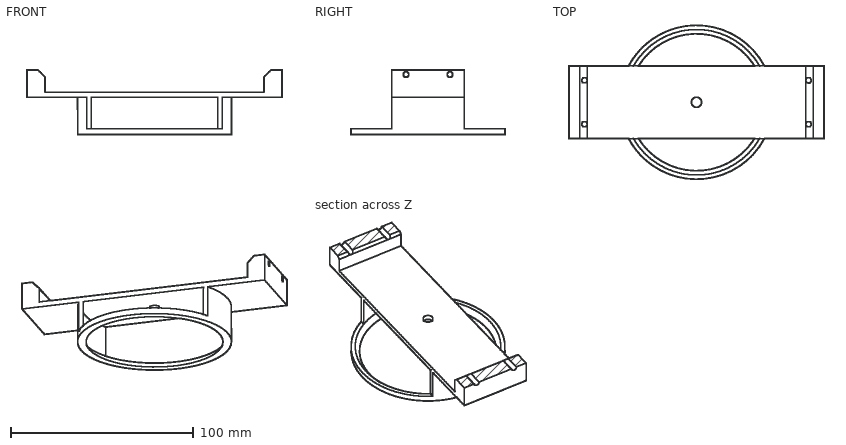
import cadquery as cq

length = 140.0
width = 40.0
total_height = 35.5

plate_thickness = 3.0
rail_height = 15.1
rail_width = 10.0
rail_chamfer = 3.9
center_hole_diameter = 5.5

rail_hole_diameter = 3.0
rail_hole_spacing = 24.1
rail_hole_drop = 2.5

ring_outer_diameter = 84.5
ring_top_bore = 80.0
ring_bottom_bore = 75.0
ring_height = 3.4

plate_bottom = total_height - rail_height
plate_top = plate_bottom + plate_thickness
half_length = length / 2
rail_inner_x = half_length - rail_width


def make_plate():
    """Channel-shaped profile with chamfered rails, extruded across the width."""
    profile = [
        (-half_length, plate_bottom),
        (half_length, plate_bottom),
        (half_length, total_height),
        (rail_inner_x + rail_chamfer, total_height),
        (rail_inner_x, total_height - rail_chamfer),
        (rail_inner_x, plate_top),
        (-rail_inner_x, plate_top),
        (-rail_inner_x, total_height - rail_chamfer),
        (-rail_inner_x - rail_chamfer, total_height),
        (-half_length, total_height),
    ]
    return cq.Workplane("XZ").polyline(profile).close().extrude(width / 2, both=True)


def make_ring_and_walls():
    """Tube with a bore tapered at the ring, cut back to two walls above the ring."""
    outer_radius = ring_outer_diameter / 2
    section = [
        (ring_bottom_bore / 2, 0),
        (outer_radius, 0),
        (outer_radius, plate_bottom),
        (ring_top_bore / 2, plate_bottom),
        (ring_top_bore / 2, ring_height),
    ]
    tube = cq.Workplane("XZ").polyline(section).close().revolve(360, (0, 0), (0, 1))
    side_depth = outer_radius - width / 2
    side_center = (outer_radius + width / 2) / 2
    side_cuts = (
        cq.Workplane("XY", origin=(0, 0, ring_height))
        .pushPoints([(0, -side_center), (0, side_center)])
        .rect(ring_outer_diameter, side_depth)
        .extrude(plate_bottom - ring_height)
    )
    return tube.cut(side_cuts)


def make_rail_holes():
    """Two cylinders along X that pass through both rails."""
    half_spacing = rail_hole_spacing / 2
    return (
        cq.Workplane("YZ", origin=(0, 0, total_height - rail_hole_drop))
        .pushPoints([(-half_spacing, 0), (half_spacing, 0)])
        .circle(rail_hole_diameter / 2)
        .extrude(half_length, both=True)
    )


def make_center_hole():
    """Cylinder through the middle of the plate."""
    return (
        cq.Workplane("XY", origin=(0, 0, plate_bottom))
        .circle(center_hole_diameter / 2)
        .extrude(plate_thickness)
    )


body = make_plate().union(make_ring_and_walls())
result = body.cut(make_rail_holes()).cut(make_center_hole())